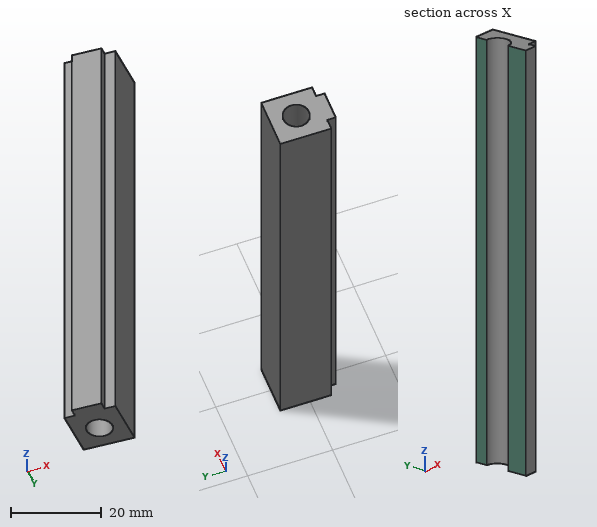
import cadquery as cq

length = 100
body_side = 12
rail_width = 7
rail_height = 2
bore_diameter = 6

body = cq.Workplane("XY").rect(body_side, body_side).extrude(length)

rail = (
    cq.Workplane("XY")
    .center(0, -rail_height / 2)
    .rect(rail_width, body_side + rail_height)
    .extrude(length)
)

bore = cq.Workplane("XY").circle(bore_diameter / 2).extrude(length)

result = body.union(rail).cut(bore)